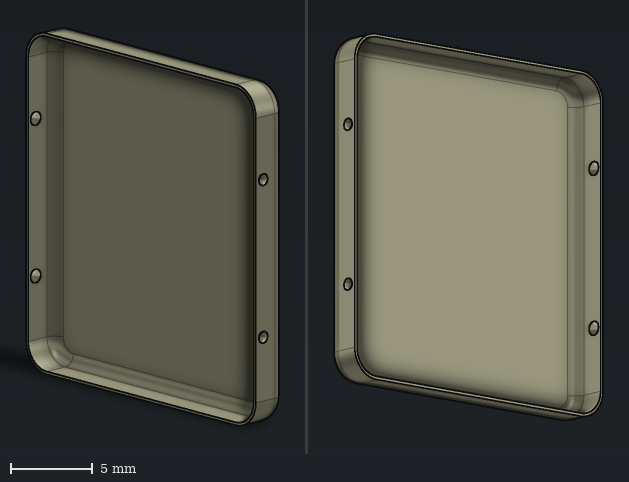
import cadquery as cq

width = 20.3
depth = 2.5
height = 21.65
wall = 0.2
corner_radius = 1.8
back_fillet = 0.9

dimple_mouth_radius = 0.37
bump_base_radius = 0.43
dimple_press = 0.22
dimple_spacing = 10.0
dimple_from_rim = 0.63

rim_y = -depth / 2


def rounded_block(inset):
    """Block with rounded corners and back edge, inset from the outer faces except at the rim."""
    return (
        cq.Workplane("XZ", origin=(0, rim_y, 0))
        .rect(width - 2 * inset, height - 2 * inset)
        .extrude(-(depth - inset))
        .edges("|Y")
        .fillet(corner_radius - inset)
        .faces(">Y")
        .edges()
        .fillet(back_fillet - inset)
    )


def dimple_sphere(side, z, face_inset, rim_radius):
    """Sphere standing in by the press depth past a wall face, meeting it in a rim circle; side is -1 or 1."""
    radius = (rim_radius**2 + dimple_press**2) / (2 * dimple_press)
    x = side * (width / 2 - face_inset - dimple_press + radius)
    center = cq.Vector(x, rim_y + dimple_from_rim, z)
    pole_axis = cq.Vector(0, 1, 0)
    return cq.Workplane(cq.Solid.makeSphere(radius, center, pole_axis, -90, 90, 360))


outer_block = rounded_block(0)
result = outer_block.cut(rounded_block(wall))
for side in (-1, 1):
    for z in (-dimple_spacing / 2, dimple_spacing / 2):
        bump = dimple_sphere(side, z, wall, bump_base_radius).intersect(outer_block)
        result = result.union(bump).cut(dimple_sphere(side, z, 0, dimple_mouth_radius))